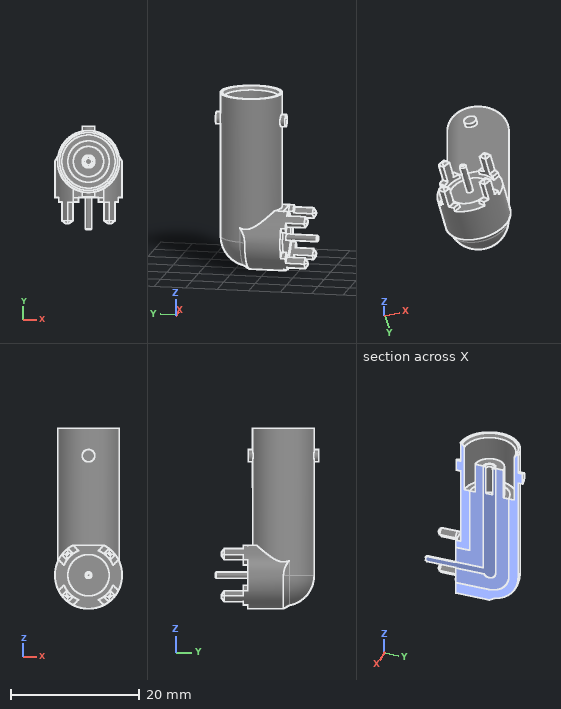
import cadquery as cq
import math


barrel_radius = 4.825
barrel_top = 22.9
bore_radius = 4.15
bore_depth = 8.5
mouth_radius = 4.5
mouth_depth = 0.6
bore_floor = barrel_top - bore_depth

stud_radius = 0.975
stud_reach = 5.52
stud_height = 18.6

foot_radius = 5.25
foot_face = -5.6
foot_flat_height = 4.68
foot_back_angle = math.radians(30)

leg_count = 4
first_leg_angle = 45
pad_inner_radius = 4.12
pad_width = 3.2
pad_face = -6.3
leg_width = 1.35
leg_tip = -9.65
leg_tip_chamfer = 0.43

insulator_radius = 3.22
nose_radius = 2.36
nose_top = 19.55

tail_radius = 0.51
tail_tip = -10.65
tail_chamfer = 0.22
socket_radius = 1.0
socket_hole_radius = 0.52
socket_hole_depth = 5.0
socket_mouth_radius = 0.8
socket_rim_chamfer = 0.12


def rod_z(radius, bottom, top):
    """Cylinder along Z."""
    return cq.Workplane("XY").workplane(offset=bottom).circle(radius).extrude(top - bottom)


def rod_y(radius, front, back):
    """Cylinder along Y; front is the lower Y value."""
    return cq.Workplane("XZ", origin=(0, back, 0)).circle(radius).extrude(back - front)


def elbow(radius, front, top):
    """Two rods meeting at the origin, with a ball rounding the corner."""
    ball = cq.Workplane("XY").sphere(radius)
    return rod_z(radius, 0, top).union(ball).union(rod_y(radius, front, 0))


def below_flat(body):
    """Trim a body at the flat on top of the foot."""
    size = 4 * abs(leg_tip)
    keep = cq.Workplane("XY").box(size, size, size).translate((0, 0, foot_flat_height - size / 2))
    return body.intersect(keep)


def make_foot():
    """Round foot with a flat top; its back tapers inward until it meets the barrel."""
    slope = math.tan(foot_back_angle)
    a = 1 + slope ** 2
    b = foot_radius * slope
    c = foot_radius ** 2 - barrel_radius ** 2
    taper_end_y = (b - math.sqrt(b ** 2 - a * c)) / a
    taper_end_x = foot_radius - slope * taper_end_y

    front = rod_y(foot_radius, foot_face, 0)
    taper_half_plan = [(0, 0), (foot_radius, 0), (taper_end_x, taper_end_y), (0, taper_end_y)]
    cone = cq.Workplane("XY").polyline(taper_half_plan).close().revolve(180, (0, 0, 0), (0, 1, 0))
    taper_plan = [
        (-foot_radius, 0),
        (foot_radius, 0),
        (taper_end_x, taper_end_y),
        (-taper_end_x, taper_end_y),
    ]
    wedge = cq.Workplane("XY").polyline(taper_plan).close().extrude(foot_flat_height)
    wedge = wedge.intersect(rod_y(foot_radius, 0, taper_end_y))
    return below_flat(front).union(cone).union(wedge)


def rim_block(width, tip):
    """Block of the foot rim, width wide, centred on +X and reaching from the foot face to tip."""
    length = foot_face - tip
    face = cq.Workplane("XZ", origin=(0, foot_face, 0))
    ring = face.circle(foot_radius).circle(pad_inner_radius).extrude(length)
    strip = face.center(foot_radius, 0).rect(2 * foot_radius, width).extrude(length)
    return ring.intersect(strip)


def make_leg():
    """Standoff pad with its pointed board leg."""
    leg = rim_block(leg_width, leg_tip).faces("<Y").chamfer(leg_tip_chamfer)
    return rim_block(pad_width, pad_face).union(leg)


def make_legs():
    leg = make_leg()
    legs = cq.Workplane("XY")
    for index in range(leg_count):
        angle = first_leg_angle + index * 360 / leg_count
        legs = legs.add(leg.rotate((0, 0, 0), (0, 1, 0), angle))
    return below_flat(legs.combine())


def make_housing():
    """Barrel, foot, legs and studs, hollowed for the mating bore and the insulator."""
    barrel_end = cq.Workplane("XY").sphere(barrel_radius)
    body = rod_z(barrel_radius, 0, barrel_top).union(barrel_end)
    body = body.union(make_foot()).union(make_legs())
    body = body.union(rod_y(stud_radius, -stud_reach, stud_reach).translate((0, 0, stud_height)))
    bore = (
        cq.Workplane("XZ")
        .polyline([
            (0, bore_floor),
            (bore_radius, bore_floor),
            (bore_radius, barrel_top - mouth_depth),
            (mouth_radius, barrel_top),
            (0, barrel_top),
        ])
        .close()
        .revolve(360, (0, 0, 0), (0, 1, 0))
    )
    return body.cut(bore).cut(elbow(insulator_radius, foot_face, bore_floor))


def socket_envelope():
    """Contact barrel with a ball end at the bend, flush with the tip of the insulator nose."""
    return rod_z(socket_radius, 0, nose_top).union(cq.Workplane("XY").sphere(socket_radius))


def make_contact():
    """Bent contact: board tail along Y and mating socket along Z."""
    tail = rod_y(tail_radius, tail_tip, 0).faces("<Y").chamfer(tail_chamfer)
    socket = socket_envelope()
    hole = rod_z(socket_hole_radius, nose_top - socket_hole_depth, nose_top)
    socket = socket.cut(hole)
    rim_edges = socket.faces(">Z").edges(cq.selectors.RadiusNthSelector(1))
    socket = rim_edges.chamfer(socket_rim_chamfer)
    mouth_edges = socket.faces(">Z").edges(cq.selectors.RadiusNthSelector(0))
    socket = mouth_edges.chamfer(socket_mouth_radius - socket_hole_radius)
    return socket.union(tail)


def make_insulator():
    """Elbow filling the housing, with a slimmer nose standing up in the mating bore."""
    body = elbow(insulator_radius, foot_face, bore_floor)
    body = body.union(rod_z(nose_radius, bore_floor, nose_top))
    body = body.cut(rod_y(tail_radius, foot_face, 0))
    return body.cut(socket_envelope())


contact = make_contact()
insulator = make_insulator()
housing = make_housing()

result = cq.Compound.makeCompound([housing.val(), insulator.val(), contact.val()])